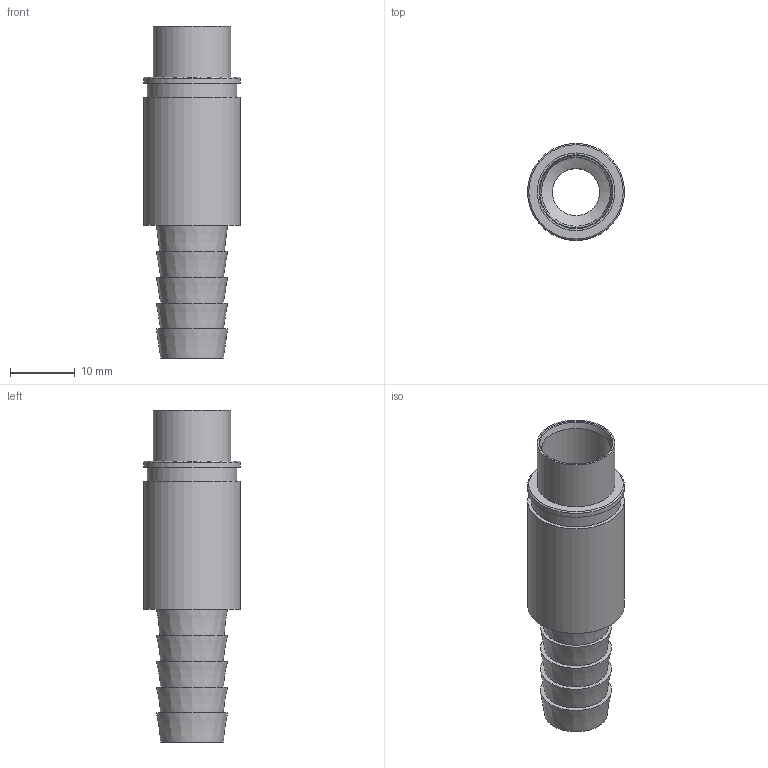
import cadquery as cq
import math

total_height = 51.35
body_bottom = 20.5
groove_bottom = 40.3
groove_top = 42.5
shoulder_height = 43.45

body_radius = 7.5
groove_radius = 6.95
spigot_radius = 6.0
shoulder_chamfer = 0.2

barb_count = 5
barb_pitch = 4.0
barb_crest_radius = 5.5
barb_root_radius = 4.85
top_barb_root_radius = 5.0

mouth_radius = 5.6
rim_chamfer = 0.12
mouth_depth = 1.1
socket_radius = 5.33
socket_bottom = 25.0
tail_bore_radius = 3.65
seat_cone_angle = 120.0


def revolved(outline):
    """Turn an (r, z) outline about the Z axis."""
    return cq.Workplane("XZ").polyline(outline).close().revolve(360, (0, 0), (0, 1))


def barb(crest_height, length, root_radius):
    """One barb: a cone narrowing downward from its sharp crest."""
    outline = [
        (0, crest_height - length),
        (root_radius, crest_height - length),
        (barb_crest_radius, crest_height),
        (0, crest_height),
    ]
    return revolved(outline)


def make_body():
    """Body with its ring groove, shoulder and spigot."""
    outline = [
        (0, body_bottom),
        (body_radius, body_bottom),
        (body_radius, groove_bottom),
        (groove_radius, groove_bottom),
        (groove_radius, groove_top),
        (body_radius, groove_top),
        (body_radius, shoulder_height - shoulder_chamfer),
        (body_radius - shoulder_chamfer, shoulder_height),
        (spigot_radius, shoulder_height),
        (spigot_radius, total_height),
        (0, total_height),
    ]
    return revolved(outline)


def make_hose_tail():
    """Barbs stacked down from the body; the last one takes the remaining length."""
    tail = barb(body_bottom, barb_pitch, top_barb_root_radius)
    for index in range(1, barb_count - 1):
        tail = tail.union(barb(body_bottom - index * barb_pitch, barb_pitch, barb_root_radius))
    last_crest = body_bottom - (barb_count - 1) * barb_pitch
    return tail.union(barb(last_crest, last_crest, barb_root_radius))


def make_bore():
    """Through bore: chamfered rim, tapered mouth, wide socket, conical seat and narrow tail bore."""
    seat_height = (socket_radius - tail_bore_radius) / math.tan(math.radians(seat_cone_angle / 2))
    outline = [
        (0, 0),
        (tail_bore_radius, 0),
        (tail_bore_radius, socket_bottom - seat_height),
        (socket_radius, socket_bottom),
        (socket_radius, total_height - mouth_depth),
        (mouth_radius, total_height - rim_chamfer),
        (mouth_radius + rim_chamfer, total_height),
        (0, total_height),
    ]
    return revolved(outline)


result = make_body().union(make_hose_tail()).cut(make_bore())